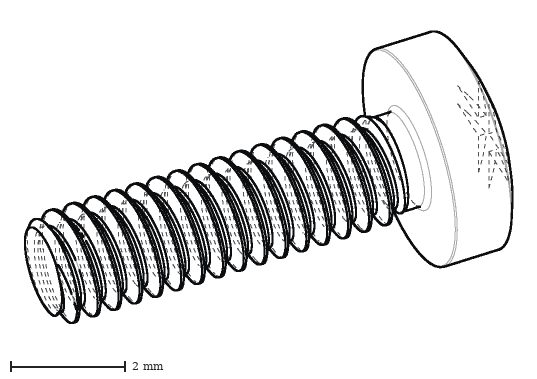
import cadquery as cq
import math

total_length = 8.58
shank_length = 7.0
head_height = total_length - shank_length

head_radius = 2.0
dome_height = 0.51
rim_height = head_height - dome_height
head_edge_round = 0.03

slot_width = 0.44
slot_depth = 0.15

neck_radius = 0.87
neck_length = 0.4
neck_fillet = 0.095

thread_radius = 1.0
turns = 17.5
pitch = shank_length / turns
thread_depth = 0.24
root_radius = thread_radius - thread_depth
flank_angle = 30.0
crest_width = pitch / 8
runout_length = 0.34
root_fade_length = 0.12
end_chamfer = 0.19

tool_margin = 0.17


def revolve_about_y(outline):
    """Close the outline, drawn as (radius, height), and turn it about the screw axis."""
    return outline.close().revolve(360, (0, 0), (0, 1))


def dome_apex_height():
    """Apex of the ball surface through the head rim and the inner corners between the slots."""
    slot_edge = slot_width / math.sqrt(2)
    rise = head_height**2 + slot_edge**2 - rim_height**2 - head_radius**2
    centre = rise / (2 * dome_height)
    return centre + math.hypot(slot_edge, head_height - centre)


def dome_point(apex):
    """Point halfway out along the dome, as (radius, height)."""
    drop = apex - rim_height
    ball_radius = (head_radius**2 + drop**2) / (2 * drop)
    radius = head_radius / 2
    return radius, apex - ball_radius + math.sqrt(ball_radius**2 - radius**2)


def make_head():
    apex = dome_apex_height()
    outline = (
        cq.Workplane("XY")
        .lineTo(head_radius, 0)
        .lineTo(head_radius, rim_height)
        .threePointArc(dome_point(apex), (0, apex))
    )
    head = revolve_about_y(outline).edges("%CIRCLE").fillet(head_edge_round)
    floor = head_height - slot_depth
    slot_height = 2 * slot_depth
    for size_x, size_z in ((2 * head_radius, slot_width), (slot_width, 2 * head_radius)):
        slot = cq.Workplane("XY").box(size_x, slot_height, size_z)
        head = head.cut(slot.translate((0, floor + slot_height / 2, 0)))
    return head


def make_neck():
    """Neck with a fillet under the head and a cone below it that closes the thread roots."""
    bend = neck_fillet * (1 - math.sqrt(0.5))
    outline = (
        cq.Workplane("XY")
        .lineTo(neck_radius + neck_fillet, 0)
        .threePointArc((neck_radius + bend, -bend), (neck_radius, -neck_fillet))
        .lineTo(neck_radius, -neck_length)
        .lineTo(root_radius, -neck_length - root_fade_length)
        .lineTo(0, -neck_length - root_fade_length)
    )
    return revolve_about_y(outline)


def make_thread_ridge():
    """Right-hand ridge, longer than the thread at both ends, with a crest at -X on the end face."""
    slope = math.tan(math.radians(flank_angle))
    foot_radius = root_radius - 0.1 * thread_depth
    half_crest = crest_width / 2
    half_foot = half_crest + (thread_radius - foot_radius) * slope
    ridge_length = shank_length + pitch
    path = cq.Wire.makeHelix(pitch, ridge_length, thread_radius)
    ridge = (
        cq.Workplane("XZ")
        .moveTo(foot_radius, -half_foot)
        .lineTo(thread_radius, -half_crest)
        .lineTo(thread_radius, half_crest)
        .lineTo(foot_radius, half_foot)
        .close()
        .sweep(cq.Workplane(path), isFrenet=True)
    )
    ridge = ridge.rotate((0, 0, 0), (0, 0, 1), 180).rotate((0, 0, 0), (1, 0, 0), -90)
    return ridge.translate((0, -shank_length - pitch, 0))


def make_end_block(face_height, direction):
    """Block with one face at the given height, reaching along Y in the given direction."""
    width = 2 * (thread_radius + tool_margin)
    length = 3 * pitch
    block = cq.Workplane("XY").box(width, length, width)
    return block.translate((0, face_height + direction * length / 2, 0))


def make_chamfer_ring():
    """Ring that leaves a 45 degree chamfer at the end of the thread."""
    inner_radius = thread_radius - end_chamfer - tool_margin
    outer_radius = thread_radius + tool_margin
    outline = (
        cq.Workplane("XY")
        .moveTo(inner_radius, -shank_length - tool_margin)
        .lineTo(outer_radius, -shank_length - tool_margin)
        .lineTo(outer_radius, -shank_length + end_chamfer + tool_margin)
    )
    return revolve_about_y(outline)


def make_runout_ring():
    """Ring that lowers the crests to the neck radius next to the neck."""
    widening = (thread_radius - neck_radius) / runout_length
    outer_radius = thread_radius + tool_margin
    outer_height = -neck_length - (outer_radius - neck_radius) / widening
    outline = (
        cq.Workplane("XY")
        .moveTo(neck_radius, -neck_length)
        .lineTo(outer_radius, outer_height)
        .lineTo(outer_radius, -neck_length + tool_margin)
        .lineTo(neck_radius, -neck_length + tool_margin)
    )
    return revolve_about_y(outline)


def make_thread():
    core = cq.Workplane("XZ").circle(root_radius).extrude(shank_length + 2 * pitch)
    thread = core.union(make_thread_ridge())
    thread = thread.cut(make_end_block(-shank_length, -1))
    thread = thread.cut(make_end_block(-neck_length, 1))
    return thread.cut(make_chamfer_ring()).cut(make_runout_ring())


result = make_thread().union(make_neck()).union(make_head())